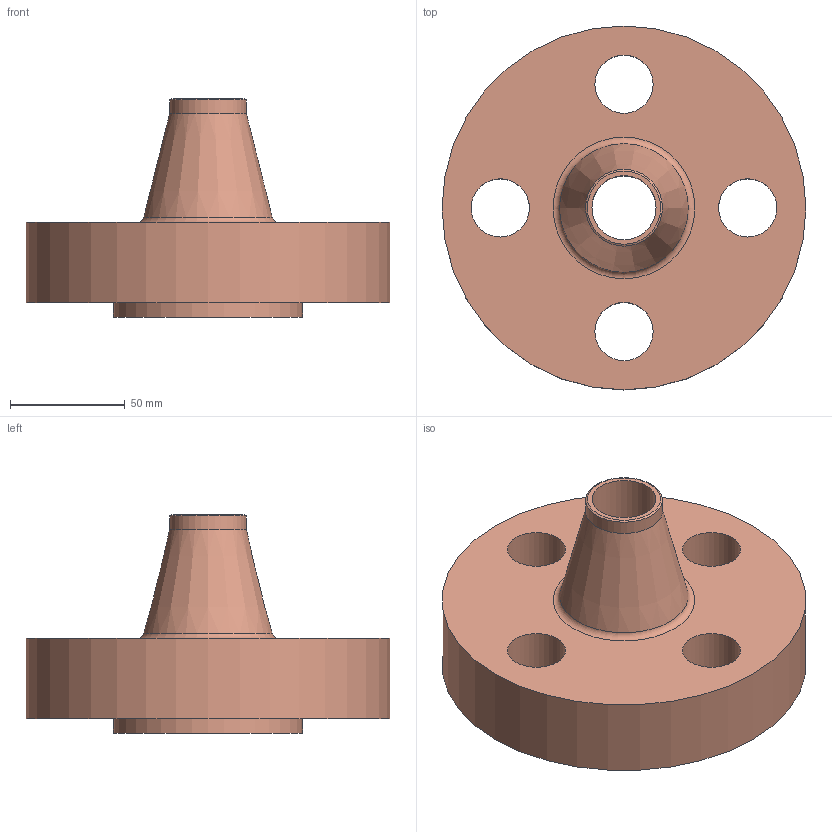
import cadquery as cq
import math

FLANGE_DIAMETER = 158.75
FLANGE_THICKNESS = 35.0
OVERALL_HEIGHT = 95.25

FACE_DIAMETER = 82.55
FACE_HEIGHT = 6.35

HUB_BASE_DIAMETER = 57.15
NECK_DIAMETER = 33.5
NECK_LENGTH = 6.5
FILLET_RADIUS = 3.0
BORE_DIAMETER = 28.0

BEVEL_ANGLE = 30.0
LAND_WIDTH = 1.95

BOLT_COUNT = 4
BOLT_HOLE_DIAMETER = 25.4
BOLT_CIRCLE_DIAMETER = 107.95

DISC_BOTTOM = FACE_HEIGHT
DISC_TOP = DISC_BOTTOM + FLANGE_THICKNESS
NECK_BOTTOM = OVERALL_HEIGHT - NECK_LENGTH

SELECTION_MARGIN = 1.0


def make_disc():
    """Stack the flange disc on its raised face."""
    face = cq.Workplane("XY").circle(FACE_DIAMETER / 2).extrude(FACE_HEIGHT)
    disc_plane = cq.Workplane("XY", origin=(0, 0, DISC_BOTTOM))
    disc = disc_plane.circle(FLANGE_DIAMETER / 2).extrude(FLANGE_THICKNESS)
    return face.union(disc)


def make_hub():
    """Revolve the taper, neck and weld bevel around Z."""
    land_radius = BORE_DIAMETER / 2 + LAND_WIDTH
    bevel_height = (NECK_DIAMETER / 2 - land_radius) * math.tan(math.radians(BEVEL_ANGLE))
    outline = [
        (0, DISC_TOP),
        (HUB_BASE_DIAMETER / 2, DISC_TOP),
        (NECK_DIAMETER / 2, NECK_BOTTOM),
        (NECK_DIAMETER / 2, OVERALL_HEIGHT - bevel_height),
        (land_radius, OVERALL_HEIGHT),
        (0, OVERALL_HEIGHT),
    ]
    return cq.Workplane("XZ").polyline(outline).close().revolve(360, (0, 0), (0, 1))


def fillet_hub_base(body):
    """Round the corner where the taper meets the disc."""
    reach = HUB_BASE_DIAMETER / 2 + SELECTION_MARGIN
    corner = cq.selectors.BoxSelector(
        (-reach, -reach, DISC_TOP - SELECTION_MARGIN),
        (reach, reach, DISC_TOP + SELECTION_MARGIN),
        boundingbox=True,
    )
    return body.edges(corner).fillet(FILLET_RADIUS)


def cut_bore(body):
    """Open the bore through the full height."""
    bore = cq.Workplane("XY").circle(BORE_DIAMETER / 2).extrude(OVERALL_HEIGHT)
    return body.cut(bore)


def cut_bolt_holes(body):
    """Drill the bolt holes evenly around the bolt circle, the first on the X axis."""
    holes = (
        cq.Workplane("XY", origin=(0, 0, DISC_BOTTOM))
        .polarArray(BOLT_CIRCLE_DIAMETER / 2, 0, 360, BOLT_COUNT)
        .circle(BOLT_HOLE_DIAMETER / 2)
        .extrude(FLANGE_THICKNESS)
    )
    return body.cut(holes)


result = make_disc().union(make_hub())
result = fillet_hub_base(result)
result = cut_bore(result)
result = cut_bolt_holes(result)